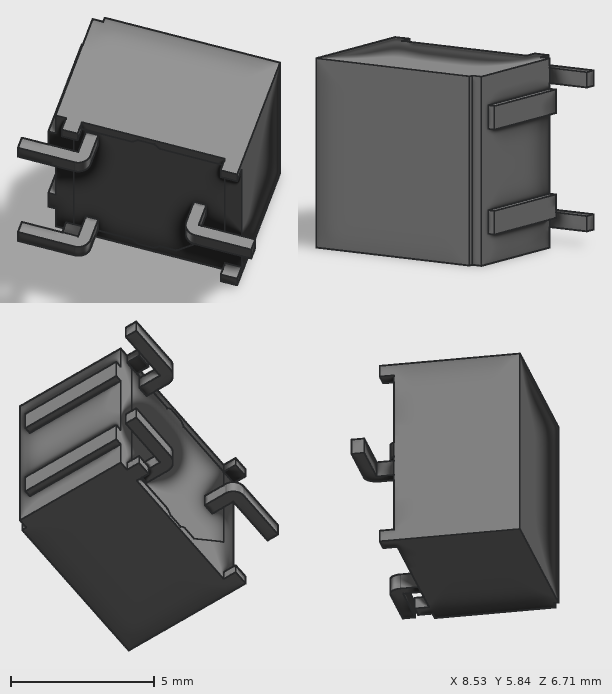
import cadquery as cq


lead_span = 8.53
overall_depth = 5.84
case_height = 6.71

case_left = -3.31
case_right = 3.49
case_front = 1.35
case_top = case_height / 2

step_width = 0.38
step_depth = 0.18

foot_left = case_left + step_width
left_foot_width = 0.58
foot_drop = 0.51
foot_height = 0.41

plate_left = -2.645
plate_right = 2.88
plate_top = case_top - foot_height
plate_thickness = 0.51
corner_cut = 1.77
key_height = 0.19
key_tip_half = 0.31
key_root_half = key_tip_half + key_height

rib_projection = 0.265
rib_height = 0.84
rib_back_gap = 0.605

lead_thickness = 0.45
lead_width = 0.55
leg_inner = 1.75
lead_offset = 2.55


def box(x_range, y_range, z_range):
    """Axis-aligned block spanning the three given ranges."""
    lows, highs = zip(x_range, y_range, z_range)
    sizes = [high - low for low, high in zip(lows, highs)]
    return cq.Workplane("XY").box(*sizes, centered=False).translate(lows)


def make_plate():
    """Keyed base plate with one corner cut at 45 degrees, flush with the case front."""
    outline = [
        (plate_left, plate_top),
        (-key_root_half, plate_top),
        (-key_tip_half, plate_top + key_height),
        (key_tip_half, plate_top + key_height),
        (key_root_half, plate_top),
        (plate_right, plate_top),
        (plate_right, corner_cut - plate_top),
        (plate_right - corner_cut, -plate_top),
        (key_root_half, -plate_top),
        (key_tip_half, -plate_top - key_height),
        (-key_tip_half, -plate_top - key_height),
        (-key_root_half, -plate_top),
        (plate_left, -plate_top),
    ]
    front_plane = cq.Workplane("XZ", origin=(0, case_front, 0))
    return front_plane.polyline(outline).close().extrude(-plate_thickness)


def make_case_block():
    """Plain case block with the step along its back left edge."""
    block = box((case_left, case_right), (case_front, overall_depth), (-case_top, case_top))
    step = box(
        (case_left, foot_left),
        (overall_depth - step_depth, overall_depth),
        (-case_top, case_top),
    )
    return block.cut(step)


def make_ribs():
    """Two flat ribs on the left side, each starting level with the inner side of a lead."""
    rib_x = (case_left - rib_projection, case_left)
    rib_y = (case_front, overall_depth - rib_back_gap)
    rib_outer = lead_offset - lead_width / 2
    rib_inner = rib_outer - rib_height
    upper_rib = box(rib_x, rib_y, (rib_inner, rib_outer))
    return [upper_rib, upper_rib.mirror("XY")]


def make_feet():
    """Four standoff feet on the front corners."""
    foot_y = (case_front - foot_drop, case_front)
    feet = []
    for foot_x in [(foot_left, foot_left + left_foot_width), (plate_right, case_right)]:
        upper_foot = box(foot_x, foot_y, (plate_top, case_top))
        feet += [upper_foot, upper_foot.mirror("XY")]
    return feet


def make_case(plate):
    """Case block with a seat for the plate, side ribs and feet."""
    case = make_case_block().cut(plate)
    for detail in make_ribs() + make_feet():
        case = case.union(detail)
    return case


def make_lead(side, z_center):
    """L-shaped lead: a leg on the plate, bent outwards toward the given X side."""
    leg_outer = leg_inner + lead_thickness
    tip = lead_span / 2
    profile = (
        cq.Workplane("XY", origin=(0, 0, z_center - lead_width / 2))
        .moveTo(side * leg_inner, case_front)
        .lineTo(side * leg_outer, case_front)
        .lineTo(side * leg_outer, lead_thickness)
        .lineTo(side * tip, lead_thickness)
        .lineTo(side * tip, 0)
        .lineTo(side * leg_outer, 0)
        .radiusArc((side * leg_inner, lead_thickness), side * lead_thickness)
        .close()
    )
    return profile.extrude(lead_width)


plate = make_plate()
case = make_case(plate)

lead_places = [(-1, lead_offset), (-1, -lead_offset), (1, 0)]
leads = [make_lead(side, z_center) for side, z_center in lead_places]

result = cq.Compound.makeCompound([case.val(), plate.val(), *[lead.val() for lead in leads]])